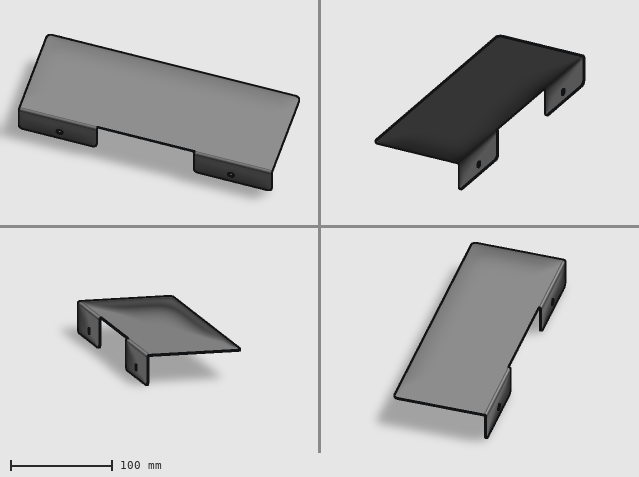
import cadquery as cq

length = 260.0
depth = 96.0
height = 31.5
thickness = 1.5
bend_radius = 2.5
tab_width = 80.0
corner_radius = 5.0
hole_diameter = 6.2
hole_spacing = 176.0
hole_above_bottom = 10.1

plate_depth = depth - bend_radius
tab_drop = height - bend_radius
inner_radius = bend_radius - thickness


def make_plate():
    """Flat plate, top face at Z = 0, front edge on the bend line at Y = 0."""
    plate = cq.Workplane("XY").box(length, plate_depth, thickness, centered=(True, False, False))
    plate = plate.translate((0, 0, -thickness))
    return plate.edges("|Z and >Y").fillet(corner_radius)


def make_tab(side):
    """Folded tab with its bend and hole; side is -1 (left) or 1 (right)."""
    center_x = side * (length - tab_width) / 2

    bend = (
        cq.Workplane("YZ")
        .moveTo(0, -bend_radius)
        .lineTo(-bend_radius, -bend_radius)
        .radiusArc((0, 0), bend_radius)
        .close()
        .extrude(tab_width / 2, both=True)
        .cut(
            cq.Workplane("YZ")
            .center(0, -bend_radius)
            .circle(inner_radius)
            .extrude(tab_width / 2, both=True)
        )
    )

    flange = (
        cq.Workplane("XY")
        .box(tab_width, thickness, tab_drop, centered=(True, False, False))
        .edges("|Y and <Z")
        .fillet(corner_radius)
        .translate((0, -bend_radius, -height))
    )

    hole = (
        cq.Workplane("XZ", origin=(side * hole_spacing / 2, 0, hole_above_bottom - height))
        .circle(hole_diameter / 2)
        .extrude(bend_radius)
    )
    return bend.union(flange).translate((center_x, 0, 0)).cut(hole)


result = make_plate()
for side in (-1, 1):
    result = result.union(make_tab(side))